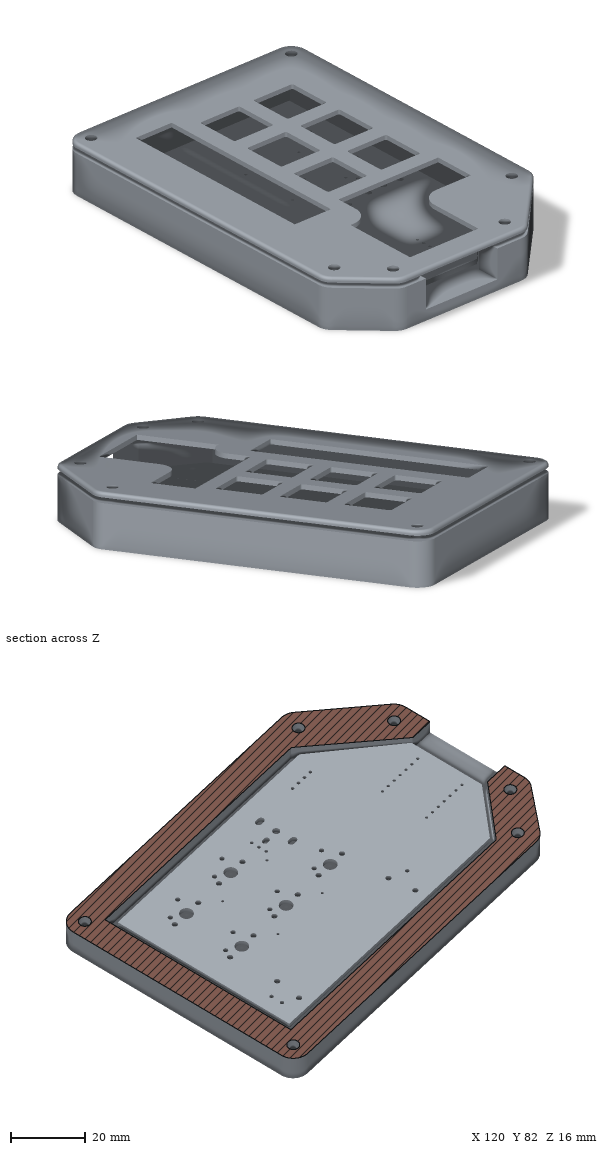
import cadquery as cq


LENGTH = 120.0
WIDTH = 82.0
CORNER_RADIUS = 5.0
BACK_CUT = (21.7, 21.6)
FRONT_CUT = (14.3, 15.2)

TOTAL_HEIGHT = 16.0
CASE_HEIGHT = 13.0
LID_THICKNESS = 1.5
FLOOR_THICKNESS = 3.5
BOARD_THICKNESS = 1.5
BOARD_TOP = 6.5
BOARD_BOTTOM = BOARD_TOP - BOARD_THICKNESS
LID_BOTTOM = TOTAL_HEIGHT - LID_THICKNESS

SCREW_DIAMETER = 3.4
SCREW_INSET = 5.0
SCREW_POINTS = [
    (SCREW_INSET, SCREW_INSET),
    (SCREW_INSET, WIDTH - SCREW_INSET),
    (96.0, 76.0),
    (114.1, 57.5),
    (114.1, 17.4),
    (103.1, 6.0),
]

CAVITY_INSET = 9.0
CAVITY_RIGHT = 112.5
CHANNEL_FRONT = 24.0
CHANNEL_BACK = 49.7
CAVITY_BACK = WIDTH - CAVITY_INSET
CAVITY_BACK_CUT = CAVITY_BACK - CHANNEL_BACK
CAVITY_FRONT_CUT = CHANNEL_FRONT - CAVITY_INSET

BOARD_GAP = 2.4
BOARD_LEFT = CAVITY_INSET + BOARD_GAP
BOARD_BACK = CAVITY_BACK - BOARD_GAP
BOARD_RIGHT = 111.8
BOARD_BACK_CUT = (22.2, 21.0)
BOARD_FRONT_CUT = (13.9, 13.9)

KEY_PITCH = 19.1
KEY_COLUMNS = 3
KEY_ROWS = 2
FIRST_KEY_X = 25.5
FIRST_KEY_Y = 39.0
KEY_STEM_DIAMETER = 4.0
KEY_PEG_DIAMETER = 1.7
KEY_PEG_OFFSET = 5.0
KEY_PIN_DIAMETER = 1.5
KEY_PIN_OFFSETS = [(-3.8, 2.5), (2.5, 5.0)]
DIODE_DIAMETER = 0.8
DIODE_COLUMNS = 2
DIODE_OFFSET = (9.6, -4.8)
KNOB_PLACE = (KEY_COLUMNS - 1, KEY_ROWS - 1)

KEY_WINDOW = 14.0
KEY_WINDOW_RADIUS = 0.6
KEY_WINDOW_SHIFT_X = -0.42
KEY_WINDOW_SHIFT_Y = 0.78

KNOB_X = 64.0
KNOB_Y = 58.0
KNOB_HOLE_DIAMETER = 2.2
KNOB_SLOT_OFFSET = 5.6
KNOB_SLOT_LENGTH = 3.0
KNOB_SLOT_WIDTH = 1.9
KNOB_PIN_DIAMETER = 1.0
KNOB_PIN_OFFSET = 7.5
KNOB_PIN_PITCH = 2.5
KNOB_SIDE_SLOT_OFFSET = 4.5
KNOB_SIDE_SLOT_LENGTH = 2.4
KNOB_SIDE_SLOT_WIDTH = 1.7

SLIDER_X = 45.5
SLIDER_PEG_DIAMETER = 1.7
SLIDER_BACK_PEG = (24.0, 23.6)
SLIDER_FRONT_PEG = (25.1, 15.2)
SLIDER_PIN_DIAMETER = 1.2
SLIDER_PIN_HALF_SPACING = 29.3
SLIDER_PIN_Y = 21.4
SLIDER_EXTRA_PIN_Y = 17.8
SLIDER_WINDOW_LEFT = 13.0
SLIDER_WINDOW_RIGHT = 77.9
SLIDER_WINDOW_FRONT = 14.0
SLIDER_WINDOW_BACK = 27.0

DISPLAY_PINS = 4
DISPLAY_PIN_DIAMETER = 1.0
DISPLAY_ROW_START = (78.8, 64.2)
DISPLAY_ROW_LENGTH = 7.7
CONTROLLER_PINS = 7
CONTROLLER_PIN_DIAMETER = 0.89
CONTROLLER_ROW_START_X = 93.1
CONTROLLER_ROW_LENGTH = 15.2
CONTROLLER_ROWS_Y = [29.4, 44.6]

WINDOW_LEFT = 75.1
WINDOW_BACK = 67.9
WINDOW_NECK_RIGHT = 88.5
WINDOW_STEP_BACK = 49.5
WINDOW_RIGHT = 112.3
WINDOW_FRONT = 25.1
WINDOW_FOOT_LEFT = 88.1
WINDOW_STEP_FRONT = 32.2
WINDOW_SWEEP = 6.0
LID_EDGE_RADIUS = 1.0


def cut_corner_plate(left, front, right, back, back_cut, front_cut, bottom, top):
    """Flat plate with sloping cuts, given by their X and Y sizes, at its two right-hand corners."""
    back_cut_x, back_cut_y = back_cut
    front_cut_x, front_cut_y = front_cut
    outline = [
        (left, front),
        (right - front_cut_x, front),
        (right, front + front_cut_y),
        (right, back - back_cut_y),
        (right - back_cut_x, back),
        (left, back),
    ]
    return cq.Workplane("XY").workplane(offset=bottom).polyline(outline).close().extrude(top - bottom)


def outer_plate(bottom, top):
    plate = cut_corner_plate(0, 0, LENGTH, WIDTH, BACK_CUT, FRONT_CUT, bottom, top)
    return plate.edges("|Z").fillet(CORNER_RADIUS)


def box_between(left, front, right, back, bottom, top):
    box = cq.Workplane("XY").box(right - left, back - front, top - bottom, centered=False)
    return box.translate((left, front, bottom))


def drills(points, diameter):
    """Drills tall enough to pass through every body."""
    return cq.Workplane("XY").pushPoints(points).circle(diameter / 2).extrude(TOTAL_HEIGHT)


def slot_cutters(points, length, width):
    """Round-ended cutters, long in X, tall enough to pass through every body."""
    return cq.Workplane("XY").pushPoints(points).slot2D(length, width).extrude(TOTAL_HEIGHT)


def key_places():
    return [(column, row) for row in range(KEY_ROWS) for column in range(KEY_COLUMNS)]


def key_centre(column, row):
    return FIRST_KEY_X + column * KEY_PITCH, FIRST_KEY_Y + row * KEY_PITCH


def pin_row(start_x, y, length, count):
    return [(start_x + length * i / (count - 1), y) for i in range(count)]


def make_case():
    cavity = cut_corner_plate(
        CAVITY_INSET, CAVITY_INSET, CAVITY_RIGHT, CAVITY_BACK,
        (CAVITY_BACK_CUT, CAVITY_BACK_CUT), (CAVITY_FRONT_CUT, CAVITY_FRONT_CUT),
        FLOOR_THICKNESS, CASE_HEIGHT,
    )
    channel = box_between(
        CAVITY_RIGHT, CHANNEL_FRONT, LENGTH, CHANNEL_BACK, FLOOR_THICKNESS, CASE_HEIGHT
    )
    case = outer_plate(0, CASE_HEIGHT).cut(cavity).cut(channel)
    return case.cut(drills(SCREW_POINTS, SCREW_DIAMETER))


def cut_switch_holes(board):
    centres = [key_centre(*place) for place in key_places() if place != KNOB_PLACE]
    pegs = [(x + side * KEY_PEG_OFFSET, y) for x, y in centres for side in (-1, 1)]
    pins = [(x + dx, y + dy) for x, y in centres for dx, dy in KEY_PIN_OFFSETS]
    board = board.cut(drills(centres, KEY_STEM_DIAMETER))
    board = board.cut(drills(pegs, KEY_PEG_DIAMETER))
    return board.cut(drills(pins, KEY_PIN_DIAMETER))


def cut_diode_holes(board):
    centres = [key_centre(*place) for place in key_places() if place[0] < DIODE_COLUMNS]
    offset_x, offset_y = DIODE_OFFSET
    return board.cut(drills([(x + offset_x, y + offset_y) for x, y in centres], DIODE_DIAMETER))


def cut_knob_holes(board):
    slots = [(KNOB_X, KNOB_Y + side * KNOB_SLOT_OFFSET) for side in (-1, 1)]
    pins = [(KNOB_X - KNOB_PIN_OFFSET, KNOB_Y + step * KNOB_PIN_PITCH) for step in (-1, 0, 1)]
    side_slot = [(KNOB_X - KNOB_SIDE_SLOT_OFFSET, KNOB_Y)]
    board = board.cut(drills([(KNOB_X, KNOB_Y)], KNOB_HOLE_DIAMETER))
    board = board.cut(slot_cutters(slots, KNOB_SLOT_LENGTH, KNOB_SLOT_WIDTH))
    board = board.cut(slot_cutters(side_slot, KNOB_SIDE_SLOT_LENGTH, KNOB_SIDE_SLOT_WIDTH))
    return board.cut(drills(pins, KNOB_PIN_DIAMETER))


def cut_slider_holes(board):
    pegs = [
        (SLIDER_X + side * half_spacing, y)
        for half_spacing, y in (SLIDER_BACK_PEG, SLIDER_FRONT_PEG)
        for side in (-1, 1)
    ]
    pins = [(SLIDER_X + side * SLIDER_PIN_HALF_SPACING, SLIDER_PIN_Y) for side in (-1, 1)]
    pins.append((SLIDER_X - SLIDER_PIN_HALF_SPACING, SLIDER_EXTRA_PIN_Y))
    board = board.cut(drills(pegs, SLIDER_PEG_DIAMETER))
    return board.cut(drills(pins, SLIDER_PIN_DIAMETER))


def cut_pin_rows(board):
    display_row = pin_row(*DISPLAY_ROW_START, DISPLAY_ROW_LENGTH, DISPLAY_PINS)
    board = board.cut(drills(display_row, DISPLAY_PIN_DIAMETER))
    for y in CONTROLLER_ROWS_Y:
        row = pin_row(CONTROLLER_ROW_START_X, y, CONTROLLER_ROW_LENGTH, CONTROLLER_PINS)
        board = board.cut(drills(row, CONTROLLER_PIN_DIAMETER))
    return board


def make_board():
    board = cut_corner_plate(
        BOARD_LEFT, BOARD_LEFT, BOARD_RIGHT, BOARD_BACK,
        BOARD_BACK_CUT, BOARD_FRONT_CUT, BOARD_BOTTOM, BOARD_TOP,
    )
    board = cut_switch_holes(board)
    board = cut_diode_holes(board)
    board = cut_knob_holes(board)
    board = cut_slider_holes(board)
    return cut_pin_rows(board)


def key_window_cutters():
    centres = []
    for place in key_places():
        x, y = key_centre(*place)
        centres.append((x + KEY_WINDOW_SHIFT_X, y + KEY_WINDOW_SHIFT_Y))
    windows = cq.Workplane("XY").pushPoints(centres).rect(KEY_WINDOW, KEY_WINDOW).extrude(TOTAL_HEIGHT)
    return windows.edges("|Z").fillet(KEY_WINDOW_RADIUS)


def electronics_window_cutter():
    return (
        cq.Workplane("XY")
        .moveTo(WINDOW_LEFT, WINDOW_BACK)
        .lineTo(WINDOW_NECK_RIGHT, WINDOW_BACK)
        .lineTo(WINDOW_NECK_RIGHT, WINDOW_STEP_BACK + WINDOW_SWEEP)
        .radiusArc((WINDOW_NECK_RIGHT + WINDOW_SWEEP, WINDOW_STEP_BACK), -WINDOW_SWEEP)
        .lineTo(WINDOW_RIGHT, WINDOW_STEP_BACK)
        .lineTo(WINDOW_RIGHT, WINDOW_FRONT)
        .lineTo(WINDOW_FOOT_LEFT, WINDOW_FRONT)
        .lineTo(WINDOW_FOOT_LEFT, WINDOW_STEP_FRONT - WINDOW_SWEEP)
        .radiusArc((WINDOW_FOOT_LEFT - WINDOW_SWEEP, WINDOW_STEP_FRONT), -WINDOW_SWEEP)
        .lineTo(WINDOW_LEFT, WINDOW_STEP_FRONT)
        .close()
        .extrude(TOTAL_HEIGHT)
    )


def make_lid():
    lid = outer_plate(LID_BOTTOM, TOTAL_HEIGHT).faces(">Z").edges().fillet(LID_EDGE_RADIUS)
    slider_window = box_between(
        SLIDER_WINDOW_LEFT, SLIDER_WINDOW_FRONT, SLIDER_WINDOW_RIGHT, SLIDER_WINDOW_BACK,
        LID_BOTTOM, TOTAL_HEIGHT,
    )
    lid = lid.cut(key_window_cutters()).cut(slider_window).cut(electronics_window_cutter())
    return lid.cut(drills(SCREW_POINTS, SCREW_DIAMETER))


case = make_case()
board = make_board()
lid = make_lid()

result = cq.Compound.makeCompound([case.val(), board.val(), lid.val()])